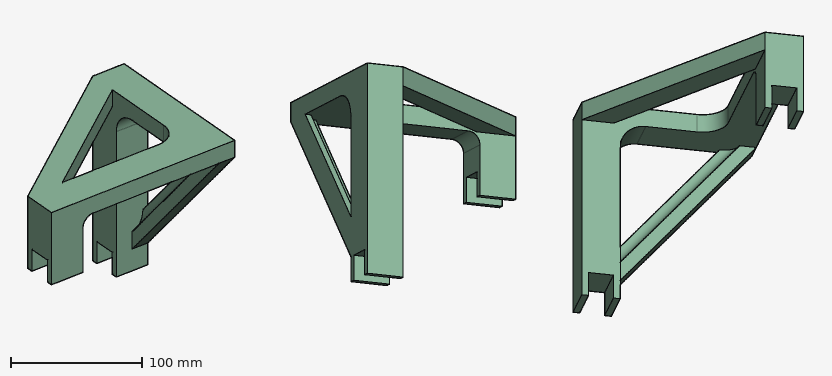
import cadquery as cq
import math

width = 140.0
depth = 175.0
height = 165.0

leg_side = 30.1
plate_thickness = 15.0
strut_width = 20.0
frame_corner_radius = 20.0
short_leg_rise = 100.5
long_leg_fillet = 20.0
short_leg_fillet = 10.0

slot_width = 19.5
slot_depth = 19.6

brace_thickness = 20.3
brace_depth = 15.0
cove_radius = brace_thickness / 2

plate_bottom = height - plate_thickness
arm_x = width - leg_side
arm_y = depth - leg_side


def block(x, y, z, length, breadth, tall):
    """Box placed by its lowest corner."""
    return cq.Workplane("XY").box(length, breadth, tall, centered=False).translate((x, y, z))


def make_frame():
    """Horizontal plate: two arms in an L joined by a slanted strut."""
    outline = [(0, depth), (width, depth), (width, 0), (arm_x, 0), (0, arm_y)]
    plate = cq.Workplane("XY", origin=(0, 0, plate_bottom)).polyline(outline).close().extrude(plate_thickness)
    strut_length = math.hypot(arm_x, arm_y)
    window_left = strut_width * strut_length / arm_y
    window_front = strut_width * strut_length / arm_x
    window = (
        cq.Workplane("XY", origin=(0, 0, plate_bottom))
        .polyline([(window_left, arm_y), (arm_x, arm_y), (arm_x, window_front)])
        .close()
        .extrude(plate_thickness)
        .edges(cq.selectors.NearestToPointSelector((arm_x, arm_y, height - plate_thickness / 2)))
        .fillet(frame_corner_radius)
    )
    return plate.cut(window)


def make_leg(x, y, foot):
    """Square leg with a slot running front to back through its foot."""
    leg = block(x, y, foot, leg_side, leg_side, height - foot)
    slot_x = x + (leg_side - slot_width) / 2
    return leg.cut(block(slot_x, y, foot, slot_width, leg_side, slot_depth))


def corner_web(plane, origin, radius, length):
    """Concave fillet filling the corner below the plate, swept along the plane normal."""
    middle = radius * (1 - math.sqrt(0.5))
    return (
        cq.Workplane(plane, origin=origin)
        .lineTo(radius, 0)
        .threePointArc((middle, -middle), (0, -radius))
        .close()
        .extrude(length)
    )


def make_brace():
    """Slanted bar from the long leg to the far end of the back arm, coved along its upper front edge."""
    run = width - leg_side
    rise = plate_bottom - slot_depth
    length = math.hypot(run, rise)
    slope_plane = cq.Plane(
        origin=(leg_side, depth, slot_depth),
        xDir=(0, -1, 0),
        normal=(-run, 0, -rise),
    )
    overrun = 2 * brace_thickness
    mid_height = brace_thickness - cove_radius
    shoulder = brace_depth - cove_radius
    middle = cove_radius * math.sqrt(0.5)
    bar = (
        cq.Workplane(slope_plane)
        .workplane(offset=-length - overrun)
        .lineTo(brace_depth, 0)
        .lineTo(brace_depth, mid_height)
        .threePointArc(
            (brace_depth - middle, brace_thickness - middle),
            (shoulder, brace_thickness),
        )
        .lineTo(0, brace_thickness)
        .close()
        .extrude(length + 2 * overrun)
    )
    space = block(leg_side, arm_y, slot_depth, run, leg_side, rise)
    return bar.intersect(space)


long_leg_web = corner_web("XZ", (leg_side, depth, plate_bottom), long_leg_fillet, leg_side)
short_leg_web = corner_web("YZ", (arm_x, leg_side, plate_bottom), short_leg_fillet, leg_side)

result = (
    make_frame()
    .union(make_leg(0, arm_y, 0))
    .union(make_leg(arm_x, 0, short_leg_rise))
    .union(long_leg_web)
    .union(short_leg_web)
    .union(make_brace())
)